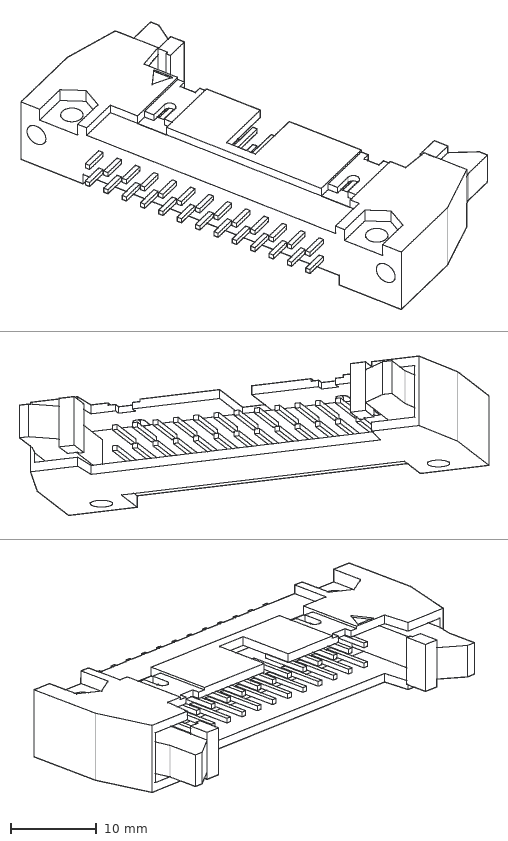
import cadquery as cq


LENGTH = 52.6
OVERALL_DEPTH = 26.2
HEIGHT = 8.5
TOP_Z = HEIGHT / 2
WALL = 1.1
MOUTH_Y = 13.75
TOWER_Y = 17.25
TAPER_START_Y = 10.0
TOWER_OUTER_X = 24.3
TOWER_INNER_X = 18.4
TOWER_FOOT_X = 18.1
CAVITY_FLOOR_Y = 7.4
CAVITY_HEIGHT = HEIGHT - 2 * WALL

PITCH = 2.54
PIN_COLUMNS = 13
PIN_SIZE = 0.6
PIN_TAIL = 2.9
PIN_TIP_GAP = 0.3

STEP_LENGTH = 5.1
TOP_STEP_WIDTH = 34.4
BOTTOM_STEP_WIDTH = 35.4
BOTTOM_STEP_DEPTH = 1.4

SLOT_WIDTH = 4.0
KEY_SLOT_END_Y = 6.45
CHANNEL_XS = (-4.5 * PITCH, 5.5 * PITCH)
CHANNEL_DEPTH = 0.3
CHANNEL_STEP_Y = 6.6
CHANNEL_REAR_DEPTH = 1.15
WINDOW_WIDTH = 1.45
WINDOW_END_Y = 9.6
NOTCH_WIDTH = 2.1
NOTCH_LENGTH = 0.95

MARK_X = -6 * PITCH
MARK_WIDTH = 2.6
MARK_LENGTH = 2.4
MARK_EDGE_GAP = 0.3
MARK_DEPTH = 0.2

HOLE_DIAMETER = 2.6
MOUNT_X = 21.08
MOUNT_Y = 2.85
POCKET_WIDTH = 5.25
POCKET_SHOULDER_Y = 4.4
POCKET_APEX_Y = 5.9
POCKET_DEPTH = 1.6
TAIL_HOLE_X = 24.15
TAIL_HOLE_Z = 0.25
TAIL_HOLE_DEPTH = 5.0

LATCH_THICKNESS = 4.0
LATCH_INNER_X = 19.17
LATCH_OUTER_X = 23.76
LATCH_TIP_OUTER_X = 23.3
LATCH_TIP_INNER_X = 22.15
LATCH_BEND_Y = 19.2
LATCH_TIP_Y = OVERALL_DEPTH - PIN_TAIL
HOOK_THICKNESS = 5.95
HOOK_INNER_X = 17.27
HOOK_LIP_X = 17.9
HOOK_TOP_Y = 21.2
HOOK_BOTTOM_Y = 18.5
HOOK_LIP_Y = 18.15


def block(x_range, y_range, z_range):
    """A box given by its two ends along each axis."""
    (x0, x1), (y0, y1), (z0, z1) = x_range, y_range, z_range
    return cq.Workplane("XY").box(x1 - x0, y1 - y0, z1 - z0, centered=False).translate((x0, y0, z0))


def centered_span(center, width):
    return (center - width / 2, center + width / 2)


def slab(points, z_range):
    """A closed XY outline extruded between two heights."""
    z0, z1 = z_range
    return cq.Workplane("XY").workplane(offset=z0).polyline(points).close().extrude(z1 - z0)


def both_ends(shape):
    """The shape and its mirror image at the other end of the connector."""
    return shape.union(shape.mirror("YZ"))


def from_top(depth):
    """The height range reaching the given depth below the top face."""
    return (TOP_Z - depth, TOP_Z)


def housing_blank():
    right_side = [
        (LENGTH / 2, 0),
        (LENGTH / 2, TAPER_START_Y),
        (TOWER_OUTER_X, TOWER_Y),
        (TOWER_INNER_X, TOWER_Y),
        (TOWER_FOOT_X, MOUTH_Y),
    ]
    left_side = [(-x, y) for x, y in reversed(right_side)]
    return slab(right_side + left_side, (-TOP_Z, TOP_Z))


def cavity():
    """The mating cavity, running on into the slots of both latch towers."""
    return block(
        centered_span(0, 2 * LATCH_OUTER_X),
        (CAVITY_FLOOR_Y, TOWER_Y),
        centered_span(0, CAVITY_HEIGHT),
    )


def tail_steps():
    y_range = (0, STEP_LENGTH)
    top = block(centered_span(0, TOP_STEP_WIDTH), y_range, from_top(WALL))
    bottom = block(
        centered_span(0, BOTTOM_STEP_WIDTH), y_range, (-TOP_Z, -TOP_Z + BOTTOM_STEP_DEPTH)
    )
    return top.union(bottom)


def key_slot():
    return block(centered_span(0, SLOT_WIDTH), (KEY_SLOT_END_Y, MOUTH_Y), from_top(WALL))


def strain_relief_channel(x):
    """A shallow channel with a deeper rear end, a round-ended window and a notch at the mouth."""
    width = centered_span(x, SLOT_WIDTH)
    floor = block(width, (STEP_LENGTH, MOUTH_Y), from_top(CHANNEL_DEPTH))
    rear = block(width, (STEP_LENGTH, CHANNEL_STEP_Y), from_top(CHANNEL_REAR_DEPTH))
    arc_y = WINDOW_END_Y - WINDOW_WIDTH / 2
    window = block(centered_span(x, WINDOW_WIDTH), (STEP_LENGTH, arc_y), from_top(CHANNEL_REAR_DEPTH))
    window_end = (
        cq.Workplane("XY", origin=(x, arc_y, TOP_Z))
        .circle(WINDOW_WIDTH / 2)
        .extrude(-CHANNEL_REAR_DEPTH)
    )
    notch = block(centered_span(x, NOTCH_WIDTH), (MOUTH_Y - NOTCH_LENGTH, MOUTH_Y), from_top(WALL))
    return floor.union(rear).union(window).union(window_end).union(notch)


def pin_one_mark():
    base_y = MOUTH_Y - MARK_EDGE_GAP
    left, right = centered_span(MARK_X, MARK_WIDTH)
    points = [(left, base_y), (right, base_y), (MARK_X, base_y - MARK_LENGTH)]
    return slab(points, from_top(MARK_DEPTH))


def mounting():
    """A through hole in a pointed nut pocket at each end, and a blind hole in the tail face."""
    left, right = centered_span(MOUNT_X, POCKET_WIDTH)
    outline = [
        (left, 0),
        (right, 0),
        (right, POCKET_SHOULDER_Y),
        (MOUNT_X, POCKET_APEX_Y),
        (left, POCKET_SHOULDER_Y),
    ]
    pocket = slab(outline, from_top(POCKET_DEPTH))
    through_hole = (
        cq.Workplane("XY", origin=(MOUNT_X, MOUNT_Y, -TOP_Z)).circle(HOLE_DIAMETER / 2).extrude(HEIGHT)
    )
    tail_hole = (
        cq.Workplane("XZ", origin=(TAIL_HOLE_X, 0, TAIL_HOLE_Z))
        .circle(HOLE_DIAMETER / 2)
        .extrude(-TAIL_HOLE_DEPTH)
    )
    return both_ends(pocket.union(through_hole).union(tail_hole))


def latches():
    arm_outline = [
        (LATCH_INNER_X, CAVITY_FLOOR_Y),
        (LATCH_OUTER_X, CAVITY_FLOOR_Y),
        (LATCH_OUTER_X, TOWER_Y),
        (LATCH_TIP_OUTER_X, LATCH_BEND_Y),
        (LATCH_TIP_OUTER_X, LATCH_TIP_Y),
        (LATCH_TIP_INNER_X, LATCH_TIP_Y),
        (LATCH_INNER_X, HOOK_TOP_Y),
    ]
    hook_outline = [
        (LATCH_INNER_X, HOOK_TOP_Y),
        (HOOK_INNER_X, HOOK_TOP_Y),
        (HOOK_INNER_X, HOOK_LIP_Y),
        (HOOK_LIP_X, HOOK_LIP_Y),
        (HOOK_LIP_X, HOOK_BOTTOM_Y),
        (LATCH_INNER_X, HOOK_BOTTOM_Y),
    ]
    arm = slab(arm_outline, centered_span(0, LATCH_THICKNESS))
    hook = slab(hook_outline, centered_span(0, HOOK_THICKNESS))
    return both_ends(arm.union(hook))


def pins():
    tip_y = MOUTH_Y - PIN_TIP_GAP
    length = tip_y + PIN_TAIL
    return (
        cq.Workplane("XY", origin=(0, (tip_y - PIN_TAIL) / 2, 0))
        .rarray(PITCH, 1, PIN_COLUMNS, 1)
        .box(PIN_SIZE, length, PIN_SIZE)
    )


housing = housing_blank().cut(cavity()).cut(tail_steps()).cut(key_slot())
for channel_x in CHANNEL_XS:
    housing = housing.cut(strain_relief_channel(channel_x))
housing = housing.cut(pin_one_mark()).cut(mounting())

result = housing.union(latches())
for row_z in centered_span(0, PITCH):
    result = result.union(pins().translate((0, 0, row_z)))